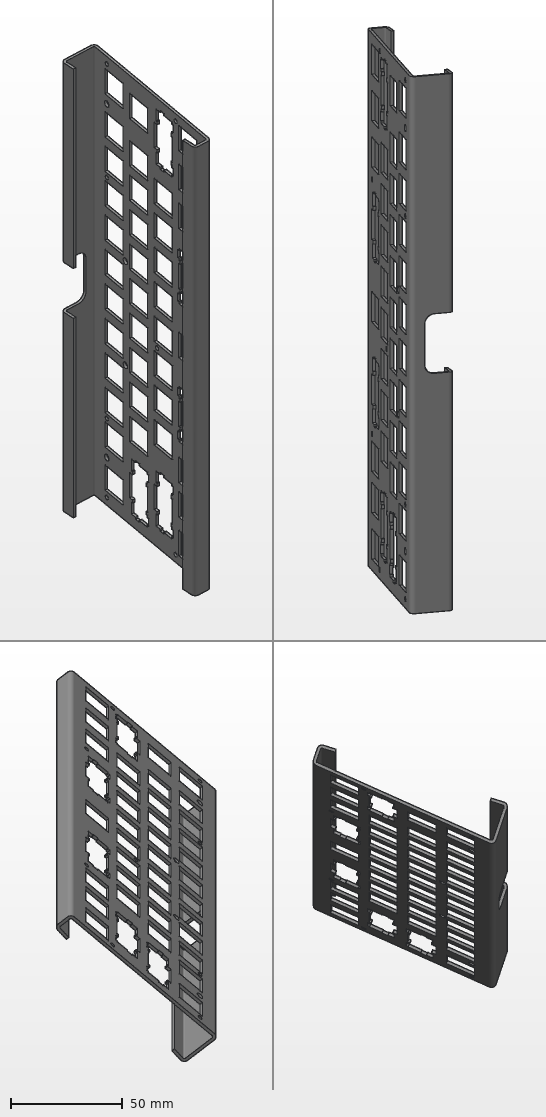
import cadquery as cq
import math

length = 248.0
width = 89.3
height = 20.0
sheet = 1.5
bend_radius = 2.2
lip_width = 8.2
plate_tilt = math.radians(6.8)

notch_length = 27.5
notch_height = 13.6
notch_corner = 4.5

units_per_row = 13
side_margin = 0.2
key_pitch = (length - 2 * side_margin) / units_per_row
switch_size = 14.0
rows_offset = 0.42

row_key_widths = [
    [1.5] + [1] * 10 + [1.5],
    [1.75] + [1] * 9 + [2.25],
    [2.25] + [1] * 8 + [2.75],
    [1.25, 1, 1.25, 2.25, 1.75, 2.25, 1, 1, 1.25],
]
row_stabiliser_side = [1, 1, 1, -1]
stabilised_from = 2.0

neck_reach = 8.7
neck_back = 4.7
neck_front = 6.0
pocket_reach = 15.1
pocket_back = 5.5
pocket_front = 6.7
tab_start = 10.0
tab_end = 14.1
tab_front = 7.7
nub_reach = 16.0
nub_back = 2.3
nub_front = 0.5

small_hole_diameter = 2.2
small_holes = [
    (-33.7, 119.8),
    (19.5, 119.8),
    (-33.7, 57.0),
    (35.5, 56.5),
    (5.2, -14.1),
    (35.5, -61.0),
    (-33.7, -76.1),
    (-33.7, -119.8),
    (19.5, -119.8),
]
large_hole_diameter = 3.2
large_holes = [
    (-33.7, 97.7),
    (-19.3, 19.3),
    (-19.3, -38.2),
    (-33.7, -97.7),
]

tilt_slope = math.tan(plate_tilt)
tall_corner = height - bend_radius + bend_radius * (1 + math.sin(plate_tilt)) / math.cos(plate_tilt)
short_corner = tall_corner - width * tilt_slope


def folded_sheet():
    """Rounded tube with a sloping plate, opened along its base to leave two lips."""
    section = [
        (-width / 2, 0),
        (width / 2, 0),
        (width / 2, short_corner),
        (-width / 2, tall_corner),
    ]
    tube = cq.Workplane("XY").polyline(section).close().extrude(length / 2, both=True)
    tube = tube.edges("|Z").fillet(bend_radius).faces("|Z").shell(-sheet)
    mouth = cq.Workplane("XY").box(width - 2 * lip_width, 3 * sheet, length)
    return tube.cut(mouth)


def hand_notch():
    """Round-cornered cutter through the tall wall and its lip."""
    cutter = cq.Workplane("XY").box(2 * lip_width, 2 * notch_height, notch_length)
    return cutter.edges("|X").fillet(notch_corner).translate((-width / 2, 0, 0))


plate = cq.Workplane(
    cq.Plane(
        origin=(0, (tall_corner + short_corner) / 2, 0),
        xDir=(math.cos(plate_tilt), -math.sin(plate_tilt), 0),
        normal=(-math.sin(plate_tilt), -math.cos(plate_tilt), 0),
    )
)
cut_depth = 2 * sheet


def opening(x_back, x_front, z_half, across, along, side):
    """Rectangular cutter from x_back to x_front about a key centre, z_half to either side of it."""
    middle = across + side * (x_front + x_back) / 2
    return plate.center(middle, along).rect(x_front - x_back, 2 * z_half).extrude(cut_depth, both=True)


def stabiliser(across, along, side):
    """Opening of a long key: neck, two pockets, clip tabs and end nubs."""
    cutter = opening(-neck_back, neck_front, neck_reach, across, along, side)
    cutter = cutter.union(opening(-nub_back, nub_front, nub_reach, across, along, side))
    pocket_length = pocket_reach - neck_reach
    tab_length = tab_end - tab_start
    for end in (-1, 1):
        pocket = along + end * (pocket_reach + neck_reach) / 2
        tab = along + end * (tab_end + tab_start) / 2
        cutter = cutter.union(opening(-pocket_back, pocket_front, pocket_length / 2, across, pocket, side))
        cutter = cutter.union(opening(0, tab_front, tab_length / 2, across, tab, side))
    return cutter


def row_openings(row):
    """Cutters for every key of one row."""
    across = (row - (len(row_key_widths) - 1) / 2) * key_pitch + rows_offset
    side = row_stabiliser_side[row]
    key_top = length / 2 - side_margin
    cutters = []
    for key_width in row_key_widths[row]:
        along = key_top - key_width * key_pitch / 2
        cutters.append(opening(-switch_size / 2, switch_size / 2, switch_size / 2, across, along, side))
        if key_width > stabilised_from:
            cutters.append(stabiliser(across, along, side))
        key_top -= key_width * key_pitch
    return cutters


result = folded_sheet().cut(hand_notch())
for row_index in range(len(row_key_widths)):
    for cutter in row_openings(row_index):
        result = result.cut(cutter)
for diameter, places in ((small_hole_diameter, small_holes), (large_hole_diameter, large_holes)):
    result = result.cut(plate.pushPoints(places).circle(diameter / 2).extrude(cut_depth, both=True))